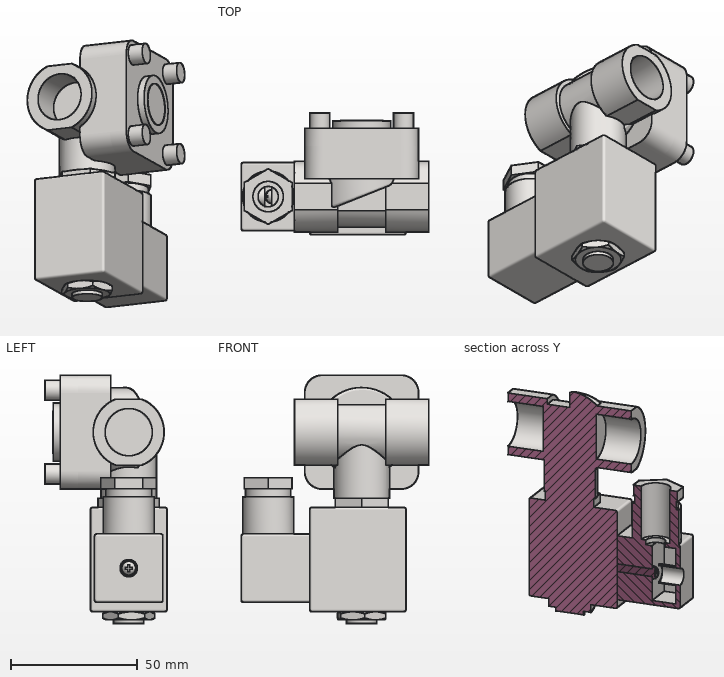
import cadquery as cq
import math


pipe_length = 53.0
collar_radius = 14.0
collar_flat_height = 13.0
neck_radius = 12.1
neck_flat_height = 10.7
neck_length = 19.0
port_diameter = 18.63
port_depth = 15.0

flange_size = 45.0
flange_corner_radius = 7.0
flange_front_y = 7.0
flange_thickness = 13.0
cover_thickness = 7.0
cover_front_y = flange_front_y + flange_thickness
cover_back_y = cover_front_y + cover_thickness
cover_boss_diameter = 23.0
cover_boss_height = 2.8
cover_disc_diameter = 16.5
cover_disc_height = 3.0
bolt_spacing = 33.0
bolt_head_diameter = 8.0
bolt_head_height = 6.0

seat_radius = 17.6
seat_edge_radius = 1.0

stem_diameter = 22.0
stem_bottom_z = -26.0
stem_hex_across_flats = 21.0
tip_diameter = 12.0
tip_bottom_z = -75.5

coil_left_x = -20.5
coil_width = 38.0
coil_depth = 30.2
coil_top_z = -29.6
coil_height = 41.2
coil_bottom_z = coil_top_z - coil_height
housing_edge_radius = 1.0

plug_size = 27.0
plug_left_x = coil_left_x - plug_size
plug_top_z = -40.1
plug_centre_z = plug_top_z - plug_size / 2
gland_x = -36.85
gland_tube_diameter = 20.2
gland_tube_height = 14.6
gland_neck_diameter = 18.0
gland_neck_height = 3.1
gland_hex_across_flats = 19.0
gland_hex_height = 4.5
gland_top_z = plug_top_z + gland_tube_height + gland_neck_height + gland_hex_height
cable_bore_diameter = 12.0
wire_hole_diameter = 8.0

chamber_wall = 2.0
chamber_size = plug_size - 2 * chamber_wall
sleeve_diameter = 8.0
sleeve_hole_diameter = 6.8
sleeve_end_x = plug_left_x + 9.3

screw_seat_x = plug_left_x + 12.0
screw_head_diameter = 5.5
screw_head_height = 2.4
screw_shank_diameter = 3.0
screw_shank_length = coil_left_x - screw_seat_x
cross_slot_length = 2.8
cross_slot_width = 0.7
cross_slot_depth = 1.2

nut_across_flats = 18.0
nut_height = 3.2
nut_turn = 7.0
nut_face_diameter = 18.0
nut_chamfer_height = 0.8


def hexagon(across_flats, bottom_z, height):
    """Upright hexagonal prism on the Z axis with two corners on the Y axis."""
    across_corners = across_flats / math.cos(math.radians(30))
    prism = cq.Workplane("XY").polygon(6, across_corners).extrude(height)
    return prism.rotate((0, 0, 0), (0, 0, 1), 90).translate((0, 0, bottom_z))


def upright_cylinder(diameter, bottom_z, height):
    return cq.Workplane("XY").workplane(offset=bottom_z).circle(diameter / 2).extrude(height)


def flatted_bar(radius, flat_height, length):
    """Round bar along X, centred on the origin, with flats on top and bottom."""
    bar = cq.Workplane("YZ").circle(radius).extrude(length / 2, both=True)
    return bar.intersect(cq.Workplane("XY").box(length, 2 * radius, 2 * flat_height))


def along_y(start_y):
    """Sketch plane facing +Y at the given Y."""
    return cq.Workplane("XZ", origin=(0, start_y, 0))


def along_x(start_x):
    """Sketch plane facing +X on the screw axis."""
    return cq.Workplane("YZ", origin=(start_x, 0, plug_centre_z))


def make_pipe():
    collars = flatted_bar(collar_radius, collar_flat_height, pipe_length)
    gap = cq.Workplane("XY").box(neck_length, 2 * collar_radius, 2 * collar_radius)
    return collars.cut(gap).union(flatted_bar(neck_radius, neck_flat_height, neck_length))


def make_seat():
    """Cylinder along Y whose front is cut by a plane sloping from the flange to the pipe."""
    back_y = cover_front_y
    slope = flange_front_y / seat_radius
    wedge = (
        cq.Workplane("XY")
        .moveTo(-back_y / slope, -back_y)
        .lineTo(back_y / slope, back_y)
        .lineTo(-back_y / slope, back_y)
        .close()
        .extrude(seat_radius, both=True)
    )
    cylinder = along_y(back_y).circle(seat_radius).extrude(2 * back_y)
    slope_normal = cq.Vector(slope, -1, 0)
    seat = cylinder.intersect(wedge)
    return seat.faces(cq.selectors.DirectionMinMaxSelector(slope_normal)).edges().fillet(seat_edge_radius)


def rounded_plate(start_y, thickness):
    plate = along_y(start_y).rect(flange_size, flange_size).extrude(-thickness)
    return plate.edges("|Y").fillet(flange_corner_radius)


def make_cover():
    cover = rounded_plate(cover_front_y, cover_thickness)
    boss = along_y(cover_back_y).circle(cover_boss_diameter / 2).extrude(-cover_boss_height)
    disc = along_y(cover_back_y).circle(cover_disc_diameter / 2).extrude(-cover_disc_height)
    bolts = (
        along_y(cover_back_y)
        .rect(bolt_spacing, bolt_spacing, forConstruction=True)
        .vertices()
        .circle(bolt_head_diameter / 2)
        .extrude(-bolt_head_height)
    )
    return cover.union(boss).union(disc).union(bolts)


def make_stem():
    stem = upright_cylinder(stem_diameter, stem_bottom_z, -stem_bottom_z)
    collar = hexagon(stem_hex_across_flats, coil_top_z, stem_bottom_z - coil_top_z)
    tip = upright_cylinder(tip_diameter, tip_bottom_z, coil_bottom_z - tip_bottom_z)
    return stem.union(collar).union(tip)


def make_coil():
    corner = (coil_left_x, -coil_depth / 2, coil_bottom_z)
    coil = cq.Workplane("XY").box(coil_width, coil_depth, coil_height, centered=False)
    return coil.edges().fillet(housing_edge_radius).translate(corner)


def make_nut():
    """Hexagon nut under the coil, chamfered on both faces and turned a little about its axis."""
    corner_radius = nut_across_flats / 2 / math.cos(math.radians(30))
    face_radius = nut_face_diameter / 2
    turned_blank = (
        cq.Workplane("XZ")
        .moveTo(tip_diameter / 2, 0)
        .lineTo(face_radius, 0)
        .lineTo(corner_radius, nut_chamfer_height)
        .lineTo(corner_radius, nut_height - nut_chamfer_height)
        .lineTo(face_radius, nut_height)
        .lineTo(tip_diameter / 2, nut_height)
        .close()
        .revolve(360, (0, 0, 0), (0, 1, 0))
    )
    nut = hexagon(nut_across_flats, 0, nut_height).intersect(turned_blank)
    return nut.rotate((0, 0, 0), (0, 0, 1), nut_turn).translate((0, 0, coil_bottom_z - nut_height))


def make_plug_outside():
    box = (
        along_x(plug_left_x)
        .rect(plug_size, plug_size)
        .extrude(plug_size)
        .edges("|X or <X")
        .fillet(housing_edge_radius)
    )
    tube = upright_cylinder(gland_tube_diameter, plug_top_z, gland_tube_height)
    neck = upright_cylinder(gland_neck_diameter, plug_top_z + gland_tube_height, gland_neck_height)
    gland_nut = hexagon(gland_hex_across_flats, gland_top_z - gland_hex_height, gland_hex_height)
    gland = tube.union(neck).union(gland_nut)
    return box.union(gland.translate((gland_x, 0, 0)))


def make_cable_bore():
    """Wide bore down the gland, then a narrower wire hole into the chamber."""
    bore = upright_cylinder(cable_bore_diameter, plug_top_z, gland_top_z - plug_top_z)
    wire_hole = upright_cylinder(wire_hole_diameter, plug_top_z - chamber_wall, chamber_wall)
    return bore.union(wire_hole).translate((gland_x, 0, 0))


def make_chamber():
    """Space behind the plug's left wall, reaching the screw seat, less the sleeve."""
    chamber_left_x = plug_left_x + chamber_wall
    room = along_x(chamber_left_x).rect(chamber_size, chamber_size).extrude(screw_seat_x - chamber_left_x)
    sleeve = along_x(chamber_left_x).circle(sleeve_diameter / 2).extrude(sleeve_end_x - chamber_left_x)
    return room.cut(sleeve)


def make_plug():
    """Hollow cable plug with its gland; it sits against the coil housing."""
    access_hole = along_x(plug_left_x).circle(sleeve_hole_diameter / 2).extrude(sleeve_end_x - plug_left_x)
    shank_hole = along_x(screw_seat_x).circle(screw_shank_diameter / 2).extrude(screw_shank_length)
    plug = make_plug_outside().cut(make_cable_bore()).cut(make_chamber())
    return plug.cut(access_hole).cut(shank_hole)


def make_valve():
    """Pipe, flange, cover, stem, coil housing and coil nut in one solid."""
    valve = make_pipe().union(make_seat()).union(make_stem()).union(make_coil()).union(make_nut())
    valve = valve.union(rounded_plate(flange_front_y, flange_thickness))
    for side in (-1, 1):
        port = cq.Workplane("YZ", origin=(side * pipe_length / 2, 0, 0))
        valve = valve.cut(port.circle(port_diameter / 2).extrude(-side * port_depth))
    return valve.union(make_cover(), clean=False)


def make_screw():
    """Domed cross-recess screw; its head faces -X."""
    head_radius = screw_head_diameter / 2
    dome_radius = (head_radius**2 + screw_head_height**2) / (2 * screw_head_height)
    apex_x = screw_seat_x - screw_head_height
    dome = cq.Workplane("XY").sphere(dome_radius).translate((apex_x + dome_radius, 0, plug_centre_z))
    head = dome.intersect(along_x(apex_x).rect(4 * head_radius, 4 * head_radius).extrude(screw_head_height))
    shank = along_x(screw_seat_x).circle(screw_shank_diameter / 2).extrude(screw_shank_length)
    screw = head.union(shank)
    for slot_y, slot_z in (
        (cross_slot_length, cross_slot_width),
        (cross_slot_width, cross_slot_length),
    ):
        screw = screw.cut(along_x(apex_x).rect(slot_y, slot_z).extrude(cross_slot_depth))
    return screw


valve = make_valve()
plug = make_plug()
screw = make_screw()

result = cq.Compound.makeCompound([*valve.solids().vals(), *plug.solids().vals(), *screw.solids().vals()])